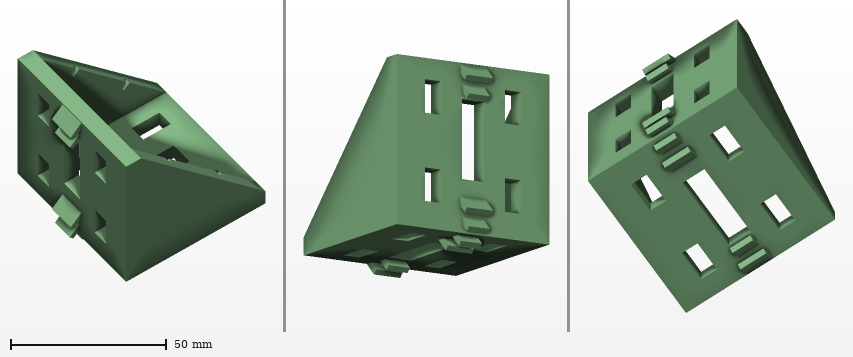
import cadquery as cq
import math


BODY_WIDTH = 58.0
OVERALL_SIDE = 60.25
HOOK_REACH_WIDE = 4.3
HOOK_REACH_NARROW = 3.85
BODY_SIDE = OVERALL_SIDE - HOOK_REACH_WIDE
PLATE_THICKNESS = 6.0
WALL_THICKNESS = 5.05

CENTRE_SLOT_WIDTH = 8.5
CENTRE_SLOT_LENGTH = 26.4
CENTRE_SLOT_START = 11.85
WINDOW_WIDTH = 6.1
WINDOW_LENGTH = 11.0
WINDOW_STARTS = (7.05, 36.1)
WINDOW_OFFSET_X = 15.25

HOOK_WIDTH_WIDE = 10.0
HOOK_WIDTH_NARROW = 8.0
HOOK_THICKNESS = 2.0
UPRIGHT_WIDE_STARTS = (0.55, 44.15)
UPRIGHT_NARROW_STARTS = (6.9, 50.6)
FLOOR_WIDE_STARTS = (0, 43.1)
FLOOR_NARROW_STARTS = (6.45, 49.8)

NOTCH_WIDTH_X = 1.7
NOTCH_LENGTH = 2.0
NOTCH_DEPTH = 3.0
NOTCH_STARTS = (14.8, 35.1)

DIAGONAL = math.sqrt(0.5)


def extrude_yz(points, x_min, x_max):
    """Prism with a polygonal (y, z) section between two x positions."""
    return cq.Workplane("YZ", origin=(x_min, 0, 0)).polyline(points).close().extrude(x_max - x_min)


def swap_plates(solid):
    """Mirror about the plane y = z, carrying upright features to the floor."""
    return solid.mirror("XY").rotate((0, 0, 0), (1, 0, 0), 90)


def make_body():
    """Wedge-shaped block hollowed out between the side walls and plates."""
    outline = [
        (0, 0),
        (BODY_SIDE, 0),
        (BODY_SIDE, PLATE_THICKNESS),
        (PLATE_THICKNESS, BODY_SIDE),
        (0, BODY_SIDE),
    ]
    block = extrude_yz(outline, -BODY_WIDTH / 2, BODY_WIDTH / 2)
    inner_half_width = BODY_WIDTH / 2 - WALL_THICKNESS
    cavity = cq.Workplane("XY").box(
        2 * inner_half_width, BODY_SIDE, BODY_SIDE, centered=(True, False, False)
    )
    return block.cut(cavity.translate((0, PLATE_THICKNESS, PLATE_THICKNESS)))


def upright_opening(x_centre, width, start, length):
    """Cutter for one rectangular opening through the upright."""
    cutter = cq.Workplane("XY").box(width, PLATE_THICKNESS, length, centered=(True, False, False))
    return cutter.translate((x_centre, 0, BODY_SIDE - start - length))


def upright_openings():
    """Centre slot and four windows."""
    cutters = upright_opening(0, CENTRE_SLOT_WIDTH, CENTRE_SLOT_START, CENTRE_SLOT_LENGTH)
    for x_centre in (-WINDOW_OFFSET_X, WINDOW_OFFSET_X):
        for start in WINDOW_STARTS:
            cutters = cutters.add(upright_opening(x_centre, WINDOW_WIDTH, start, WINDOW_LENGTH))
    return cutters.combine()


def upright_hook(start, width, reach):
    """Hook slanting outward and down, its upper side leaving the upright below the top edge."""
    top = BODY_SIDE - start
    tip_step = HOOK_THICKNESS * DIAGONAL
    section = [
        (0, top),
        (-reach, top - reach),
        (-reach + tip_step, top - reach - tip_step),
        (0, top - HOOK_THICKNESS / DIAGONAL),
    ]
    return extrude_yz(section, -width / 2, width / 2)


def hook_row(wide_starts, narrow_starts):
    """All hooks of one plate, placed on the upright."""
    wide = [upright_hook(start, HOOK_WIDTH_WIDE, HOOK_REACH_WIDE) for start in wide_starts]
    narrow = [upright_hook(start, HOOK_WIDTH_NARROW, HOOK_REACH_NARROW) for start in narrow_starts]
    return wide + narrow


def slope_notch(start):
    """Cutter for one notch in the sloping edge of the +x wall."""
    y_low = BODY_SIDE - start
    z_low = PLATE_THICKNESS + start
    along = NOTCH_LENGTH * DIAGONAL
    inward = NOTCH_DEPTH * DIAGONAL
    section = [
        (y_low, z_low),
        (y_low - along, z_low + along),
        (y_low - along - inward, z_low + along - inward),
        (y_low - inward, z_low - inward),
    ]
    inner_face = BODY_WIDTH / 2 - WALL_THICKNESS
    return extrude_yz(section, inner_face, inner_face + NOTCH_WIDTH_X)


result = make_body()

openings = upright_openings()
result = result.cut(openings).cut(swap_plates(openings))

for notch_start in NOTCH_STARTS:
    notch = slope_notch(notch_start)
    result = result.cut(notch).cut(notch.mirror("YZ"))

for hook in hook_row(UPRIGHT_WIDE_STARTS, UPRIGHT_NARROW_STARTS):
    result = result.union(hook)
for hook in hook_row(FLOOR_WIDE_STARTS, FLOOR_NARROW_STARTS):
    result = result.union(swap_plates(hook))